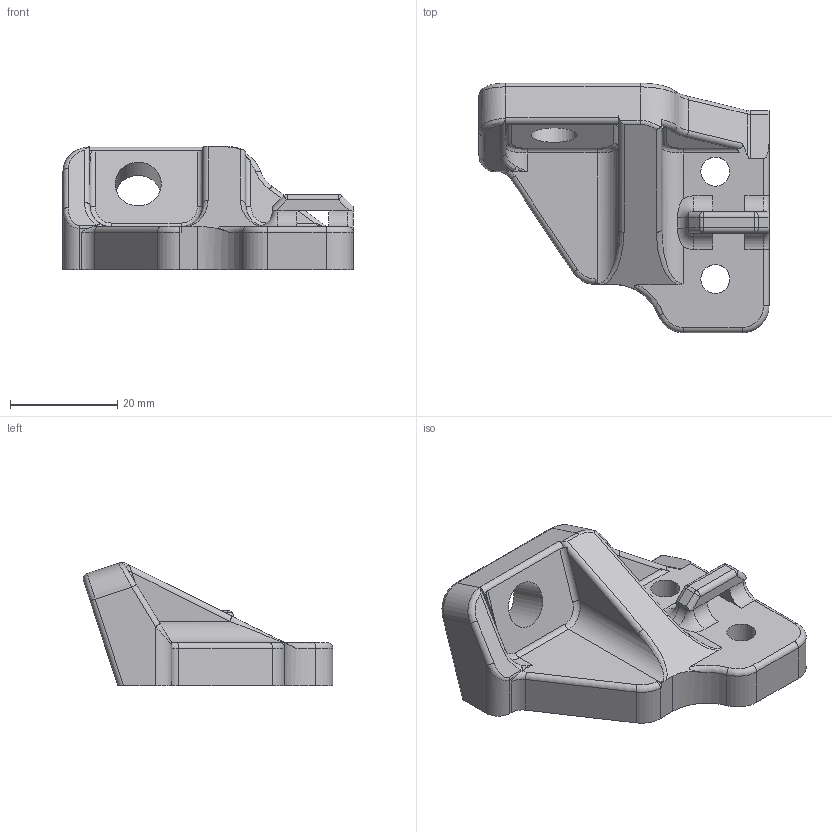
import cadquery as cq
import math

LENGTH = 54.0
BASE_HEIGHT = 8.0
BACK_Y = 40.0
EDGE_RADIUS = 1.0
STEP_Y = 9.0
TAPER_START_X = 5.0
TAPER_END_X = 19.0
TAPER_START_RADIUS = 3.0
CORNER_RADIUS = 5.0
SCALLOP_X = 25.0
SCALLOP_RADIUS = 9.0
MOUNT_HOLE_DIAMETER = 5.4
MOUNT_HOLE_X = 44.0
MOUNT_HOLE_YS = (10.0, 30.0)

LEAN_ANGLE = 18.05
WALL_THICKNESS = 8.0
WALL_HEIGHT = 21.64
WALL_TOP_END_X = 30.0
SHOULDER_RADIUS = 7.3
HOLLOW_RADIUS = 6.5
SHOULDER_ANGLE = 70.0
LEDGE_X = 50.2
LEDGE_HEIGHT = 5.25
WALL_HOLE_DIAMETER = 8.6
WALL_HOLE_X = 14.0
WALL_HOLE_Z = 15.95

GUSSET_WIDTH = 5.0
GUSSET_FRONT_Y = 30.0
RIB_LEFT_X = 26.0
RIB_RIGHT_X = 34.0
FOOT_RADIUS = 4.0
RIB_TOE_Y = 8.9

BRIDGE_LEFT_X = 39.0
BRIDGE_Y = 20.5
BRIDGE_WIDTH = 4.0
BRIDGE_TOP_Z = 14.0
BRIDGE_FOOT_RADIUS = 3.0
BRIDGE_END_CHAMFER = 2.3
WINDOW_LEFT_X = 43.5
WINDOW_RIGHT_X = 49.5

LEAN = math.radians(LEAN_ANGLE)
SIN_LEAN = math.sin(LEAN)
COS_LEAN = math.cos(LEAN)
WALL_CREST_Y = BACK_Y + WALL_HEIGHT * SIN_LEAN - WALL_THICKNESS * COS_LEAN
WALL_CREST_Z = WALL_HEIGHT * COS_LEAN + WALL_THICKNESS * SIN_LEAN
BRIDGE_UNDERSIDE_Z = BASE_HEIGHT + BRIDGE_FOOT_RADIUS
ROOM = 60.0
SMALL = 0.01


def wall_plane(depth=0.0):
    """Plane of the wall's back face moved forward by depth; local y runs up the slope, normal forward."""
    origin = (0, BACK_Y - depth * COS_LEAN, depth * SIN_LEAN)
    return cq.Plane(origin=origin, xDir=(1, 0, 0), normal=(0, -COS_LEAN, SIN_LEAN))


def on_wall(x, height, depth):
    """Point at a given distance up the wall and forward of its back plane."""
    return wall_plane(depth).toWorldCoords((x, height)).toTuple()


def round_corner(prism, x, y, radius):
    """Round the upright edge of a prism at the given corner."""
    corner = cq.selectors.BoxSelector((x - SMALL, y - SMALL, 0), (x + SMALL, y + SMALL, ROOM))
    return prism.edges(corner).fillet(radius)


def fillet_at(body, *points, radius=EDGE_RADIUS):
    """Round the edges of the body that pass closest to the given points."""
    picked = []
    for point in points:
        vertex = cq.Vertex.makeVertex(*point)
        picked.append(min(body.edges().vals(), key=lambda edge: edge.distance(vertex)))
    return body.newObject(picked).fillet(radius)


def base_outline(height):
    """Prism over the base outline, running back past the wall."""
    rise = CORNER_RADIUS - (STEP_Y - SCALLOP_RADIUS)
    reach = SCALLOP_RADIUS + CORNER_RADIUS
    run = math.sqrt(reach ** 2 - rise ** 2)
    corner_center_x = SCALLOP_X + run
    turn = math.atan2(run, rise)
    meet = (SCALLOP_X + SCALLOP_RADIUS * math.sin(turn),
            STEP_Y - SCALLOP_RADIUS * (1 - math.cos(turn)))
    scallop_mid = (SCALLOP_X + SCALLOP_RADIUS * math.sin(turn / 2),
                   STEP_Y - SCALLOP_RADIUS * (1 - math.cos(turn / 2)))
    corner_mid = (corner_center_x - CORNER_RADIUS * math.sin(turn / 2),
                  CORNER_RADIUS - CORNER_RADIUS * math.cos(turn / 2))
    prism = (
        cq.Workplane("XY")
        .moveTo(0, ROOM)
        .lineTo(0, GUSSET_FRONT_Y)
        .lineTo(TAPER_START_X, GUSSET_FRONT_Y)
        .lineTo(TAPER_END_X, STEP_Y)
        .lineTo(SCALLOP_X, STEP_Y)
        .threePointArc(scallop_mid, meet)
        .threePointArc(corner_mid, (corner_center_x, 0))
        .lineTo(LENGTH, 0)
        .lineTo(LENGTH, ROOM)
        .close()
        .extrude(height)
    )
    prism = round_corner(prism, 0, GUSSET_FRONT_Y, TAPER_START_RADIUS)
    prism = round_corner(prism, TAPER_START_X, GUSSET_FRONT_Y, TAPER_START_RADIUS)
    prism = round_corner(prism, TAPER_END_X, STEP_Y, CORNER_RADIUS)
    return round_corner(prism, LENGTH, 0, CORNER_RADIUS)


def wall_outline(depth):
    """The wall outline extruded forward from the back plane."""
    steep = math.radians(SHOULDER_ANGLE)
    shoulder_end = (WALL_TOP_END_X + SHOULDER_RADIUS * math.sin(steep),
                    WALL_HEIGHT - SHOULDER_RADIUS * (1 - math.cos(steep)))
    shoulder_mid = (WALL_TOP_END_X + SHOULDER_RADIUS * math.sin(steep / 2),
                    WALL_HEIGHT - SHOULDER_RADIUS * (1 - math.cos(steep / 2)))
    hollow_center = (shoulder_end[0] + HOLLOW_RADIUS * math.sin(steep),
                     shoulder_end[1] + HOLLOW_RADIUS * math.cos(steep))
    to_ledge_x = LEDGE_X - hollow_center[0]
    to_ledge_y = LEDGE_HEIGHT - hollow_center[1]
    sight = math.atan2(-to_ledge_y, to_ledge_x)
    fall = sight - math.asin(HOLLOW_RADIUS / math.hypot(to_ledge_x, to_ledge_y))

    def hollow_point(angle):
        return (hollow_center[0] - HOLLOW_RADIUS * math.sin(angle),
                hollow_center[1] - HOLLOW_RADIUS * math.cos(angle))

    corner_offset = CORNER_RADIUS * (1 - math.sqrt(0.5))
    prism = (
        cq.Workplane(wall_plane())
        .moveTo(0, -ROOM)
        .lineTo(0, WALL_HEIGHT - CORNER_RADIUS)
        .threePointArc((corner_offset, WALL_HEIGHT - corner_offset), (CORNER_RADIUS, WALL_HEIGHT))
        .lineTo(WALL_TOP_END_X, WALL_HEIGHT)
        .threePointArc(shoulder_mid, shoulder_end)
        .threePointArc(hollow_point((steep + fall) / 2), hollow_point(fall))
        .lineTo(LEDGE_X, LEDGE_HEIGHT)
        .lineTo(LENGTH, LEDGE_HEIGHT)
        .lineTo(LENGTH, -ROOM)
        .close()
        .extrude(depth)
    )
    return fillet_at(prism, on_wall(LEDGE_X, LEDGE_HEIGHT, depth / 2))


def between(left_x, right_x):
    """Tall block filling the given X range."""
    return cq.Workplane("XY", origin=(left_x, 0, 0)).rect(right_x - left_x, ROOM, centered=False).extrude(ROOM)


def below_slope(toe_y):
    """Everything under the slope from a toe on the base plate up through the wall crest."""
    run_per_rise = (WALL_CREST_Y - toe_y) / (WALL_CREST_Z - BASE_HEIGHT)
    return (
        cq.Workplane("YZ")
        .moveTo(toe_y - BASE_HEIGHT * run_per_rise, 0)
        .lineTo(toe_y + (ROOM - BASE_HEIGHT) * run_per_rise, ROOM)
        .lineTo(2 * ROOM, ROOM)
        .lineTo(2 * ROOM, 0)
        .close()
        .extrude(ROOM)
    )


def footed_section(left_x, right_x, foot_left):
    """Upright of the given X range with concave feet that run out flat on the base plate, long in Y."""
    foot_top = BASE_HEIGHT + FOOT_RADIUS
    sag = FOOT_RADIUS * (1 - math.sqrt(0.5))
    section = cq.Workplane("XZ").moveTo(left_x, ROOM)
    if foot_left:
        section = (
            section.lineTo(left_x, foot_top)
            .threePointArc((left_x - sag, BASE_HEIGHT + sag), (left_x - FOOT_RADIUS, BASE_HEIGHT))
            .lineTo(left_x - 2 * FOOT_RADIUS, BASE_HEIGHT)
            .lineTo(left_x - 2 * FOOT_RADIUS, 0)
        )
    else:
        section = section.lineTo(left_x, 0)
    return (
        section.lineTo(right_x + 2 * FOOT_RADIUS, 0)
        .lineTo(right_x + 2 * FOOT_RADIUS, BASE_HEIGHT)
        .lineTo(right_x + FOOT_RADIUS, BASE_HEIGHT)
        .threePointArc((right_x + sag, BASE_HEIGHT + sag), (right_x, foot_top))
        .lineTo(right_x, ROOM)
        .close()
        .extrude(-ROOM)
    )


def round_slope(body, toe_y):
    """Round every edge around the sloped face that starts at the given toe."""
    uphill = cq.Vector(0, WALL_CREST_Y - toe_y, WALL_CREST_Z - BASE_HEIGHT).normalized()
    outward = cq.Vector(0, -uphill.z, uphill.y)
    slope = max(body.faces().vals(), key=lambda face: face.normalAt().dot(outward))
    return body.newObject(slope.Edges()).fillet(EDGE_RADIUS)


def buttress(section, toe_y):
    """An upright section trimmed to its slope and to the front half of the wall's thickness and beyond."""
    in_front = wall_outline(2 * ROOM).cut(wall_outline(WALL_THICKNESS / 2))
    return section.intersect(below_slope(toe_y)).intersect(in_front)


def gusset():
    """Triangular web closing the left end of the pocket."""
    corner = cq.Workplane("XY").rect(ROOM, ROOM, centered=False).extrude(ROOM)
    corner = corner.translate((0, GUSSET_FRONT_Y, 0))
    corner = round_corner(corner, 0, GUSSET_FRONT_Y, TAPER_START_RADIUS)
    section = footed_section(0, GUSSET_WIDTH, False).intersect(corner)
    return round_slope(buttress(section, GUSSET_FRONT_Y), GUSSET_FRONT_Y)


def rib():
    """Long sloping rib that props the wall."""
    section = footed_section(RIB_LEFT_X, RIB_RIGHT_X, True)
    body = round_slope(buttress(section, RIB_TOE_Y), RIB_TOE_Y)
    return body.intersect(between(RIB_LEFT_X - FOOT_RADIUS, RIB_RIGHT_X + FOOT_RADIUS))


def base():
    """Base plate with a rounded top rim, cut off by the wall's back plane and ledge."""
    plate = base_outline(BASE_HEIGHT).faces(">Z").edges("not >Y").fillet(EDGE_RADIUS)
    return plate.intersect(wall_outline(2 * ROOM))


def wall_panel(left_x, right_x):
    """Front half of the wall's thickness over the given X range, with a rounded top edge."""
    panel = wall_outline(WALL_THICKNESS).cut(wall_outline(WALL_THICKNESS / 2))
    panel = panel.intersect(between(left_x, right_x))
    forward = wall_plane().zDir
    front = max(panel.faces().vals(), key=lambda face: face.normalAt().dot(forward))
    top_edges = [
        edge for edge in front.Edges()
        if edge.Center().z > BASE_HEIGHT and left_x + SMALL < edge.Center().x < right_x - SMALL
    ]
    return panel.newObject(top_edges).fillet(EDGE_RADIUS)


def inner_corner(side_x, end_x):
    """Concave rounding where the wall front meets a footed side at side_x and the floor out to end_x."""
    direction = math.copysign(1, end_x - side_x)
    sag = FOOT_RADIUS * (1 - math.sqrt(0.5))
    space = (
        cq.Workplane("XZ")
        .moveTo(side_x, ROOM)
        .lineTo(side_x, BASE_HEIGHT + FOOT_RADIUS)
        .threePointArc(
            (side_x + direction * sag, BASE_HEIGHT + sag),
            (side_x + direction * FOOT_RADIUS, BASE_HEIGHT),
        )
        .lineTo(end_x, BASE_HEIGHT)
        .lineTo(end_x, ROOM)
        .close()
        .extrude(-ROOM)
    )
    behind_front = cq.Workplane(wall_plane()).rect(4 * ROOM, 4 * ROOM).extrude(WALL_THICKNESS)
    space = space.cut(behind_front)
    backward = wall_plane().zDir * -1
    end_face = max(space.faces().vals(), key=lambda face: face.normalAt().dot(backward))
    corner_edges = [
        edge for edge in end_face.Edges()
        if edge.Center().z < ROOM - SMALL and abs(edge.Center().x - end_x) > SMALL
    ]
    rounding = space.cut(space.newObject(corner_edges).fillet(EDGE_RADIUS))
    below_crest = wall_outline(ROOM).translate(wall_plane().yDir * -EDGE_RADIUS)
    return rounding.intersect(below_crest)


def bracket():
    """Base, wall, gusset and rib in one piece with all their rounded edges."""
    pocket_x = (GUSSET_WIDTH + RIB_LEFT_X) / 2
    body = wall_outline(WALL_THICKNESS / 2)
    body = body.union(wall_panel(GUSSET_WIDTH, RIB_LEFT_X)).union(wall_panel(RIB_RIGHT_X, LENGTH))
    body = body.union(gusset()).union(rib())
    body = body.union(inner_corner(GUSSET_WIDTH, pocket_x).intersect(below_slope(GUSSET_FRONT_Y)))
    body = body.union(inner_corner(RIB_LEFT_X, pocket_x))
    body = body.union(inner_corner(RIB_RIGHT_X, LENGTH))
    body = body.intersect(base_outline(ROOM)).union(base())
    back_rim = [on_wall(0, WALL_HEIGHT / 2, 0), on_wall(pocket_x, WALL_HEIGHT, 0)]
    return fillet_at(body, *back_rim)


def bridge_feet():
    """Lower part of the bridge, flaring into a patch of the base plate flush with the right end."""
    front_y = BRIDGE_Y - BRIDGE_WIDTH / 2
    back_y = BRIDGE_Y + BRIDGE_WIDTH / 2
    margin = 2 * BRIDGE_FOOT_RADIUS
    patch = (
        cq.Workplane("XY", origin=(BRIDGE_LEFT_X - margin, front_y - margin, 0))
        .rect(LENGTH - BRIDGE_LEFT_X + margin, BRIDGE_WIDTH + 2 * margin, centered=False)
        .extrude(BASE_HEIGHT)
    )
    leg = (
        cq.Workplane("XY", origin=(BRIDGE_LEFT_X, front_y, 0))
        .rect(LENGTH - BRIDGE_LEFT_X, BRIDGE_WIDTH, centered=False)
        .extrude(BRIDGE_TOP_Z)
        .edges("|Z and <X")
        .fillet(EDGE_RADIUS)
    )
    mid_x = (BRIDGE_LEFT_X + LENGTH) / 2
    feet = fillet_at(patch.union(leg), (mid_x, front_y, BASE_HEIGHT), radius=BRIDGE_FOOT_RADIUS)
    feet = fillet_at(feet, (LENGTH, front_y, BRIDGE_UNDERSIDE_Z), (LENGTH, back_y, BRIDGE_UNDERSIDE_Z))
    flare = (
        cq.Workplane("XY", origin=(BRIDGE_LEFT_X - BRIDGE_FOOT_RADIUS, front_y - BRIDGE_FOOT_RADIUS, 0))
        .rect(ROOM, BRIDGE_WIDTH + 2 * BRIDGE_FOOT_RADIUS, centered=False)
        .extrude(BRIDGE_UNDERSIDE_Z)
    )
    return feet.intersect(flare)


def bridge_bar():
    """Upper part of the bridge: a bar with chamfered ends and rounded edges."""
    front_y = BRIDGE_Y - BRIDGE_WIDTH / 2
    back_y = BRIDGE_Y + BRIDGE_WIDTH / 2
    chamfer_z = BRIDGE_TOP_Z - BRIDGE_END_CHAMFER
    bar = (
        cq.Workplane("XZ", origin=(0, front_y, 0))
        .moveTo(BRIDGE_LEFT_X, BRIDGE_UNDERSIDE_Z)
        .lineTo(BRIDGE_LEFT_X, chamfer_z)
        .lineTo(BRIDGE_LEFT_X + BRIDGE_END_CHAMFER, BRIDGE_TOP_Z)
        .lineTo(LENGTH - BRIDGE_END_CHAMFER, BRIDGE_TOP_Z)
        .lineTo(LENGTH, chamfer_z)
        .lineTo(LENGTH, BRIDGE_UNDERSIDE_Z)
        .close()
        .extrude(-BRIDGE_WIDTH)
    )
    bar = bar.edges("|Y and >Z").fillet(EDGE_RADIUS)
    mid_x = (BRIDGE_LEFT_X + LENGTH) / 2
    return fillet_at(bar, (mid_x, front_y, BRIDGE_TOP_Z), (mid_x, back_y, BRIDGE_TOP_Z))


def bridge():
    """Small strap bridge on two legs, with a window between them."""
    window = (
        cq.Workplane("XY", origin=(WINDOW_LEFT_X, 0, BASE_HEIGHT))
        .rect(WINDOW_RIGHT_X - WINDOW_LEFT_X, ROOM, centered=False)
        .extrude(BRIDGE_UNDERSIDE_Z - BASE_HEIGHT)
    )
    return bridge_bar().union(bridge_feet().cut(window))


def mount_holes():
    """Two upright holes through the base plate."""
    places = [(MOUNT_HOLE_X, y) for y in MOUNT_HOLE_YS]
    return cq.Workplane("XY").pushPoints(places).circle(MOUNT_HOLE_DIAMETER / 2).extrude(BASE_HEIGHT)


def wall_hole():
    """Hole square through the leaning wall."""
    height = (WALL_HOLE_Z - WALL_THICKNESS * SIN_LEAN) / COS_LEAN
    circle = cq.Workplane(wall_plane()).center(WALL_HOLE_X, height).circle(WALL_HOLE_DIAMETER / 2)
    return circle.extrude(WALL_THICKNESS + EDGE_RADIUS)


result = bracket().union(bridge()).cut(mount_holes()).cut(wall_hole())